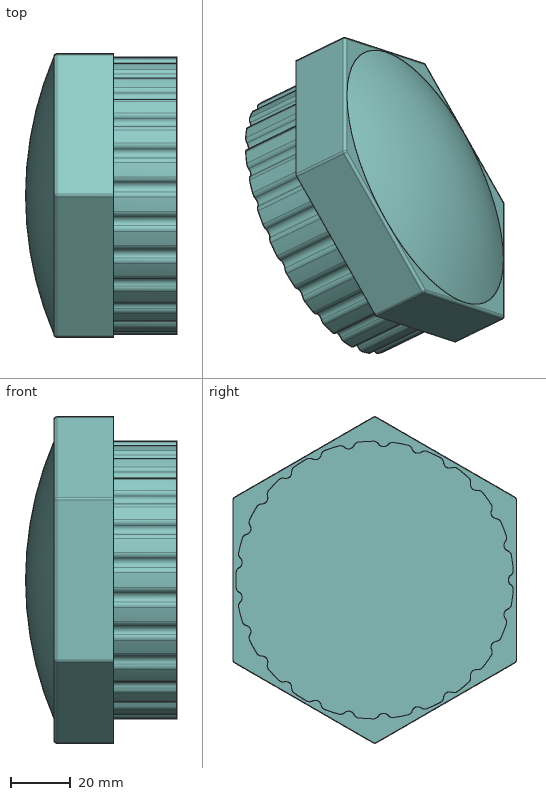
import cadquery as cq
import math

ACROSS_FLATS = 95.0
HEAD_THICKNESS = 20.0
EDGE_RADIUS = 1.0

DOME_BASE_RADIUS = ACROSS_FLATS / 2 - EDGE_RADIUS
DOME_HEIGHT = 9.53

GRIP_RADIUS = 46.5
GRIP_LENGTH = 21.2
FLUTE_COUNT = 25
FLUTE_HALF_ANGLE = 4.15
FLUTE_RADIUS = 2.0
LAND_EDGE_RADIUS = 2.0


def make_head():
    """Hexagonal plate from X = 0 to its thickness, rounded except at its back face."""
    across_corners = ACROSS_FLATS / math.cos(math.pi / 6)
    plate = (
        cq.Workplane("YZ")
        .transformed(rotate=(0, 0, 90))
        .polygon(6, across_corners)
        .extrude(HEAD_THICKNESS)
    )
    return plate.edges("|X or <X").fillet(EDGE_RADIUS)


def make_dome():
    """Spherical cap standing on the front face of the head, revolved about the X axis."""
    sphere_radius = (DOME_BASE_RADIUS**2 + DOME_HEIGHT**2) / (2 * DOME_HEIGHT)
    half_opening = math.asin(DOME_BASE_RADIUS / sphere_radius) / 2
    arc_middle = (
        sphere_radius - DOME_HEIGHT - sphere_radius * math.cos(half_opening),
        sphere_radius * math.sin(half_opening),
    )
    return (
        cq.Workplane("XY")
        .moveTo(0, 0)
        .lineTo(-DOME_HEIGHT, 0)
        .threePointArc(arc_middle, (0, DOME_BASE_RADIUS))
        .close()
        .revolve(360, (0, 0, 0), (1, 0, 0))
    )


def polar(radius, angle):
    """Point at a radius and an angle in degrees, measured from +Y toward +Z."""
    return (radius * math.cos(math.radians(angle)), radius * math.sin(math.radians(angle)))


def point_on_circle(center, radius, toward):
    """Point of a circle on the ray from its center toward another point."""
    dy = toward[0] - center[0]
    dz = toward[1] - center[1]
    reach = math.hypot(dy, dz)
    return (center[0] + radius * dy / reach, center[1] + radius * dz / reach)


def make_grip():
    """Cylinder with evenly spaced rounded flutes; a land is centred on -Y."""
    pitch = 360 / FLUTE_COUNT

    rounding_center_radius = GRIP_RADIUS - LAND_EDGE_RADIUS
    rounding_depth, rounding_offset = polar(rounding_center_radius, FLUTE_HALF_ANGLE)
    center_distance = FLUTE_RADIUS + LAND_EDGE_RADIUS
    flute_center_radius = rounding_depth + math.sqrt(center_distance**2 - rounding_offset**2)
    flute_bottom_radius = flute_center_radius - FLUTE_RADIUS

    def rounding(flute_angle, side):
        """Land end, arc middle and flute end of the rounding on one side of a flute."""
        land_angle = flute_angle + side * FLUTE_HALF_ANGLE
        center = polar(rounding_center_radius, land_angle)
        land_end = polar(GRIP_RADIUS, land_angle)
        flute_end = point_on_circle(center, LAND_EDGE_RADIUS, polar(flute_center_radius, flute_angle))
        chord_middle = ((land_end[0] + flute_end[0]) / 2, (land_end[1] + flute_end[1]) / 2)
        return land_end, point_on_circle(center, LAND_EDGE_RADIUS, chord_middle), flute_end

    outline = cq.Workplane("YZ", origin=(HEAD_THICKNESS, 0, 0))
    outline = outline.moveTo(*polar(GRIP_RADIUS, -FLUTE_HALF_ANGLE))
    for index in range(FLUTE_COUNT):
        flute_angle = index * pitch
        _, entry_middle, entry_end = rounding(flute_angle, -1)
        exit_end, exit_middle, exit_start = rounding(flute_angle, 1)
        next_land_end = polar(GRIP_RADIUS, flute_angle + pitch - FLUTE_HALF_ANGLE)
        outline = (
            outline.threePointArc(entry_middle, entry_end)
            .threePointArc(polar(flute_bottom_radius, flute_angle), exit_start)
            .threePointArc(exit_middle, exit_end)
            .threePointArc(polar(GRIP_RADIUS, flute_angle + pitch / 2), next_land_end)
        )
    return outline.close().extrude(GRIP_LENGTH)


result = make_head().union(make_dome()).union(make_grip())